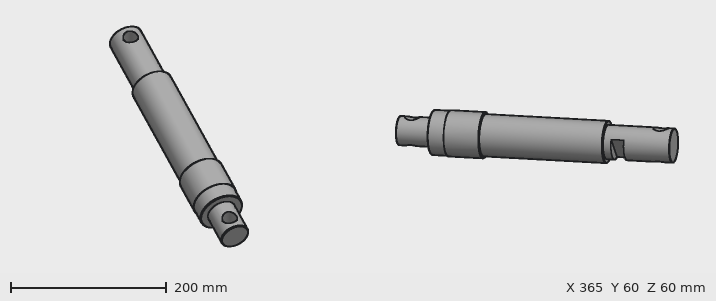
import cadquery as cq

LENGTH = 365.0
LEFT_END = -LENGTH / 2

SHANK_LENGTH = 88.0
SHANK_RADIUS = 22.3
TUBE_RADIUS = 27.5
EDGE_BREAK = 0.7
COLLAR_START = 251.0
COLLAR_STEP = 298.2
COLLAR_END = 320.0
COLLAR_RADIUS = 30.0
COLLAR_NOSE_RADIUS = 29.2
COLLAR_CHAMFER = 1.0

ROD_RADIUS = 19.0
ROD_CHAMFER = 1.0

PIN_HOLE_DIAMETER = 19.5
PIN_HOLE_INSET = 17.5

SLOT_START = 61.0
SLOT_WIDTH = 16.8
SLOT_FLAT_DISTANCE = 9.0
SLOT_ANGLE = 45.0


def cylinder(start, end, radius):
    """Cylinder along X between two distances from the left end."""
    plane = cq.Workplane("YZ", origin=(LEFT_END + start, 0, 0))
    return plane.circle(radius).extrude(end - start)


def pin_hole(position):
    """Vertical hole cutter, long enough to pass right through."""
    plane = cq.Workplane("XY", origin=(LEFT_END + position, 0, -COLLAR_RADIUS))
    return plane.circle(PIN_HOLE_DIAMETER / 2).extrude(2 * COLLAR_RADIUS)


def keeper_slot():
    """Block that leaves a flat facing between +Y and -Z."""
    block = cq.Workplane("XY").box(
        SLOT_WIDTH, 2 * SHANK_RADIUS, SHANK_RADIUS, centered=(False, True, False)
    )
    block = block.translate((LEFT_END + SLOT_START, 0, -SHANK_RADIUS - SLOT_FLAT_DISTANCE))
    return block.rotate((0, 0, 0), (1, 0, 0), SLOT_ANGLE)


def make_barrel():
    shank = cylinder(0, SHANK_LENGTH, SHANK_RADIUS)
    shank = shank.faces("<X").chamfer(EDGE_BREAK)
    tube = cylinder(SHANK_LENGTH, COLLAR_START, TUBE_RADIUS)
    tube = tube.faces("<X").chamfer(EDGE_BREAK)
    collar = cylinder(COLLAR_START, COLLAR_STEP, COLLAR_RADIUS)
    collar = collar.faces("<X").chamfer(COLLAR_CHAMFER)
    nose = cylinder(COLLAR_STEP, COLLAR_END, COLLAR_NOSE_RADIUS)
    nose = nose.faces(">X").chamfer(COLLAR_CHAMFER)
    bore = cylinder(COLLAR_START, COLLAR_END, ROD_RADIUS)
    barrel = shank.union(tube).union(collar).union(nose).cut(bore)
    return barrel.cut(pin_hole(PIN_HOLE_INSET)).cut(keeper_slot())


def make_rod():
    rod = cylinder(COLLAR_START, LENGTH, ROD_RADIUS)
    rod = rod.faces(">X").chamfer(ROD_CHAMFER)
    return rod.cut(pin_hole(LENGTH - PIN_HOLE_INSET))


barrel = make_barrel()
rod = make_rod()

result = cq.Compound.makeCompound([barrel.val(), rod.val()])